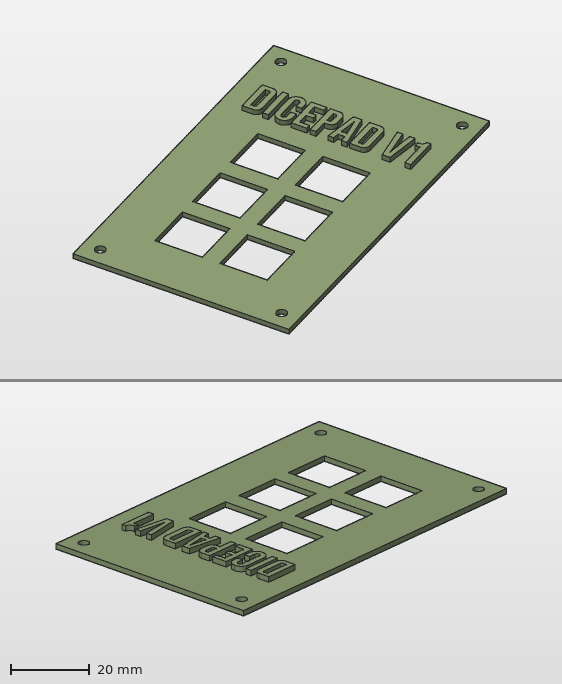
import cadquery as cq

plate_width = 63.5
plate_length = 101.6
plate_thickness = 1.5

screw_diameter = 2.9
screw_inset = 5.1

window_side = 13.9
window_pitch = 19.1
window_columns = 2
window_rows = 3
window_center_y = -9.4

letter_rise = 1.5
letter_height = 10.2
stem = 1.7
bar = 1.4
round_width = 5.0
narrow_width = 4.6
bowl_radius = 1.8
counter_radius = 0.4
text_left = -24.9
text_base = 23.1
letter_overlap = 0.2


def extrude_letter(outline):
    return outline.extrude(letter_rise + letter_overlap)


def block(left, bottom, right, top):
    center = ((left + right) / 2, (bottom + top) / 2)
    return extrude_letter(cq.Workplane("XY").center(*center).rect(right - left, top - bottom))


def polygon(points):
    return extrude_letter(cq.Workplane("XY").polyline(points).close())


def bowl(width, bottom):
    """Closed loop with rounded right corners, from the given bottom to the letter top."""
    outer = block(0, bottom, width, letter_height).edges("|Z and >X").fillet(bowl_radius)
    counter = block(stem, bottom + bar, width - stem, letter_height - bar)
    return outer.cut(counter.edges("|Z and >X").fillet(counter_radius))


def letter_d():
    return bowl(round_width, 0)


def letter_i():
    return block(0, 0, stem, letter_height)


def letter_c():
    overshoot = 0.3
    outer_radius = 2.4
    inner_radius = 0.7
    gap_bottom = 3.9
    gap_top = 6.6
    outer = block(0, -overshoot, round_width, letter_height + overshoot).edges("|Z").fillet(outer_radius)
    counter = block(stem, bar - overshoot, round_width - stem, letter_height + overshoot - bar)
    gap = block(round_width / 2, gap_bottom, round_width, gap_top)
    return outer.cut(counter.edges("|Z").fillet(inner_radius)).cut(gap)


def letter_e():
    middle_bottom = 4.6
    middle_width = 3.9
    letter = letter_i()
    letter = letter.union(block(0, 0, narrow_width, bar))
    letter = letter.union(block(0, middle_bottom, middle_width, middle_bottom + bar))
    return letter.union(block(0, letter_height - bar, narrow_width, letter_height))


def letter_p():
    bowl_bottom = 4.2
    return letter_i().union(bowl(narrow_width, bowl_bottom))


def tapered(width, tip_width, base_y, tip_y):
    """Symmetric trapezoid with its wide end at base_y and its narrow end at tip_y."""
    half = width / 2
    half_tip = tip_width / 2
    return polygon([(-half, base_y), (half, base_y), (half_tip, tip_y), (-half_tip, tip_y)])


def letter_a():
    width = 5.6
    tip_width = 2.4
    foot_gap_width = 2.3
    foot_gap_tip = 1.8
    crossbar_bottom = 1.8
    crossbar_top = 3.3
    counter_width = 1.6
    counter_tip = 8.5
    letter = tapered(width, tip_width, 0, letter_height)
    letter = letter.cut(tapered(foot_gap_width, foot_gap_tip, 0, crossbar_bottom))
    half_counter = counter_width / 2
    counter = polygon([(-half_counter, crossbar_top), (half_counter, crossbar_top), (0, counter_tip)])
    return letter.cut(counter).translate((width / 2, 0, 0))


def letter_v():
    width = 5.3
    tip_width = 2.3
    notch_width = 2.0
    notch_bottom = 2.0
    half_notch = notch_width / 2
    letter = tapered(width, tip_width, letter_height, 0)
    notch = polygon([(-half_notch, letter_height), (half_notch, letter_height), (0, notch_bottom)])
    return letter.cut(notch).translate((width / 2, 0, 0))


def digit_1():
    width = 3.1
    flag_bottom = 7.6
    flag_top = 8.9
    flag_bend = (1.5, 9.2)
    flag_end = 2.0
    stem_left = width - stem
    outline = (
        cq.Workplane("XY")
        .moveTo(stem_left, 0)
        .lineTo(width, 0)
        .lineTo(width, letter_height)
        .lineTo(flag_end, letter_height)
        .threePointArc(flag_bend, (0, flag_top))
        .lineTo(0, flag_bottom)
        .lineTo(stem_left, flag_bottom)
        .close()
    )
    return extrude_letter(outline)


def make_plate():
    plate = cq.Workplane("XY").box(plate_width, plate_length, plate_thickness, centered=(True, True, False))
    screw_spacing_x = plate_width - 2 * screw_inset
    screw_spacing_y = plate_length - 2 * screw_inset
    plate = (
        plate.faces(">Z")
        .workplane()
        .rarray(screw_spacing_x, screw_spacing_y, 2, 2)
        .hole(screw_diameter)
    )
    windows = (
        cq.Workplane("XY")
        .center(0, window_center_y)
        .rarray(window_pitch, window_pitch, window_columns, window_rows)
        .rect(window_side, window_side)
        .extrude(plate_thickness)
    )
    return plate.cut(windows)


lettering = [
    (letter_d(), 0),
    (letter_i(), 6.0),
    (letter_c(), 8.7),
    (letter_e(), 14.4),
    (letter_p(), 20.0),
    (letter_a(), 25.3),
    (letter_d(), 31.6),
    (letter_v(), 39.7),
    (digit_1(), 46.4),
]

result = make_plate()
for letter, left in lettering:
    position = (text_left + left, text_base, plate_thickness - letter_overlap)
    result = result.union(letter.translate(position))